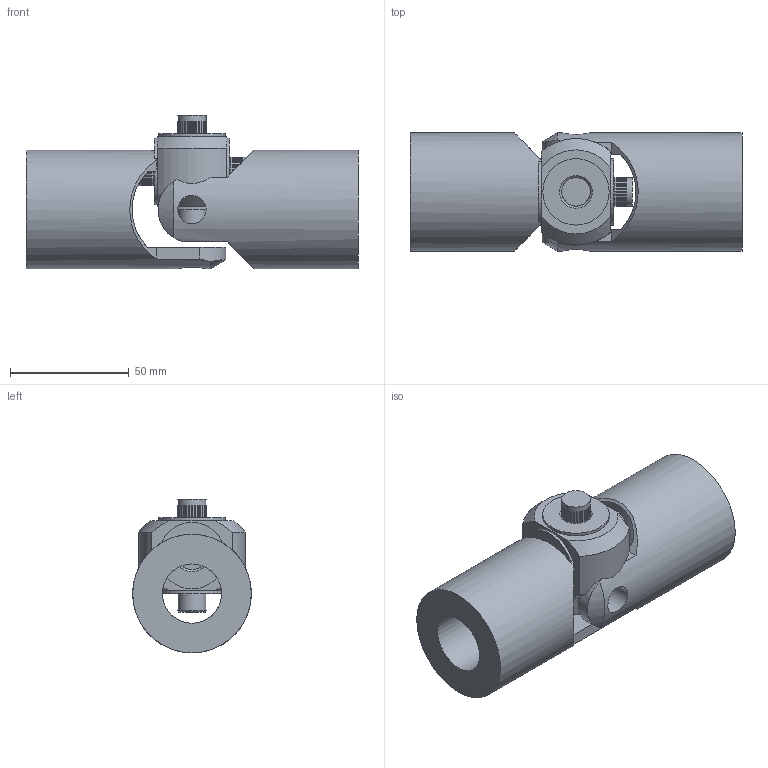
import cadquery as cq
import math

tube_diameter = 50.0
bore_diameter = 25.0
half_length = 70.0
arm_half_gap = 15.9
arm_half_width = 13.65
arm_tip_start = 3.3
arm_tip_reach = 14.33
gap_reach = 25.3
gap_end_radius = 22.4
flank_start = 26.2
tip_bevel_start = 7.8
tip_bevel_angle = 30.0

block_height = 16.0
block_radius = 22.45
block_half_width = 14.7
block_chamfer = 4.75
boss_diameter = 28.0
boss_reach = 16.0
countersink_width = 0.9

pin_diameter = 12.0
pin_reach = 23.81
pin_tip_length = 2.6
pin_end_chamfer = 0.5
knurl_length = 5.2
knurl_count = 30
knurl_depth = 0.25

tube_radius = tube_diameter / 2
pin_radius = pin_diameter / 2
boss_planes = ("XY", "YZ")
sides = (-1, 1)


def tube_blank():
    """Solid tube pointing to -X, turned to a cone at the arm tips."""
    bevel_drop = (arm_tip_reach - tip_bevel_start) * math.tan(math.radians(tip_bevel_angle))
    return (
        cq.Workplane("XY")
        .moveTo(-half_length, 0)
        .lineTo(-half_length, tube_radius)
        .lineTo(tip_bevel_start, tube_radius)
        .lineTo(arm_tip_reach, tube_radius - bevel_drop)
        .lineTo(arm_tip_reach, 0)
        .close()
        .revolve(360, (0, 0, 0), (1, 0, 0))
    )


def arm_outline():
    """Plan shape of tube and arms: 45 degree flanks, then straight arm sides with a round tip."""
    flank_end = flank_start - (tube_radius - arm_half_width)
    return (
        cq.Workplane("XY")
        .moveTo(-half_length, -tube_radius)
        .lineTo(-flank_start, -tube_radius)
        .lineTo(-flank_end, -arm_half_width)
        .lineTo(arm_tip_start, -arm_half_width)
        .threePointArc((arm_tip_reach, 0), (arm_tip_start, arm_half_width))
        .lineTo(-flank_end, arm_half_width)
        .lineTo(-flank_start, tube_radius)
        .lineTo(-half_length, tube_radius)
        .close()
        .extrude(tube_radius, both=True)
    )


def arm_gap():
    """Opening between the arms, with a round inner end."""
    arc_depth = gap_end_radius - math.sqrt(gap_end_radius**2 - arm_half_gap**2)
    arc_start = gap_reach - arc_depth
    return (
        cq.Workplane("XZ")
        .moveTo(tube_radius, -arm_half_gap)
        .lineTo(-arc_start, -arm_half_gap)
        .threePointArc((-gap_reach, 0), (-arc_start, arm_half_gap))
        .lineTo(tube_radius, arm_half_gap)
        .close()
        .extrude(tube_radius, both=True)
    )


def yoke():
    """Yoke on the -X side, with its arms above and below the axis."""
    bore = (
        cq.Workplane("YZ")
        .workplane(offset=-half_length)
        .circle(bore_diameter / 2)
        .extrude(half_length)
    )
    pin_hole = cq.Workplane("XY").circle(pin_radius).extrude(tube_radius, both=True)
    return tube_blank().intersect(arm_outline()).cut(arm_gap()).cut(bore).cut(pin_hole)


def block_blank():
    """Round block with flats across X, and a boss on each flat and on the top and bottom."""
    flats = cq.Workplane("XY").box(2 * block_half_width, 2 * block_radius, 2 * block_half_width)
    blank = (
        cq.Workplane("XY")
        .circle(block_radius)
        .extrude(block_half_width, both=True)
        .faces("|Z")
        .chamfer(block_chamfer)
        .intersect(flats)
    )
    for plane in boss_planes:
        bosses = cq.Workplane(plane).circle(boss_diameter / 2).extrude(boss_reach, both=True)
        blank = blank.union(bosses)
    return blank


def pin_bore(plane):
    """Through hole for the pins, countersunk at both boss faces."""
    rim_radius = pin_radius + countersink_width
    bore = cq.Workplane(plane).circle(pin_radius).extrude(boss_reach, both=True)
    for side in sides:
        countersink = (
            cq.Workplane(plane)
            .workplane(offset=side * boss_reach)
            .circle(rim_radius)
            .workplane(offset=-side * countersink_width)
            .circle(pin_radius)
            .loft(ruled=True)
        )
        bore = bore.union(countersink)
    return bore


def pin_blank(inner_end):
    """Plain pin along Z, from inner_end to its outer end."""
    return (
        cq.Workplane("XY")
        .workplane(offset=inner_end)
        .circle(pin_radius)
        .extrude(pin_reach - inner_end)
    )


def knurled_pin(inner_end):
    """Pin with a chamfered inner end and V grooves near its outer end."""
    knurl_start = pin_reach - pin_tip_length - knurl_length
    groove_diagonal = 2 * knurl_depth
    grooves = (
        cq.Workplane("XY")
        .workplane(offset=knurl_start)
        .polarArray(pin_radius, 0, 360, knurl_count)
        .polygon(4, groove_diagonal)
        .extrude(knurl_length)
    )
    return pin_blank(inner_end).faces("<Z").chamfer(pin_end_chamfer).cut(grooves)


def lifted(body):
    """Body moved from the joint centre up to the block centre."""
    return body.translate((0, 0, block_height))


def toward_side(pin, side):
    """Pin turned from +Z to point along +X or -X."""
    return pin.rotate((0, 0, 0), (0, 1, 0), side * 90)


block = block_blank()
for bore_plane in boss_planes:
    block = block.cut(pin_bore(bore_plane))
block = lifted(block)

long_pin = lifted(knurled_pin(-pin_reach))
short_pins = [lifted(toward_side(knurled_pin(pin_radius), side)) for side in sides]

seat = block_blank().union(pin_blank(-pin_reach))
for side in sides:
    seat = seat.union(toward_side(pin_blank(pin_radius), side))
seat = lifted(seat)

left_yoke = yoke().cut(seat)
right_yoke = yoke().rotate((0, 0, 0), (1, 0, 0), 90).rotate((0, 0, 0), (0, 0, 1), 180).cut(seat)

bodies = [left_yoke, right_yoke, block, long_pin, *short_pins]
result = cq.Compound.makeCompound([body.solids().val() for body in bodies])